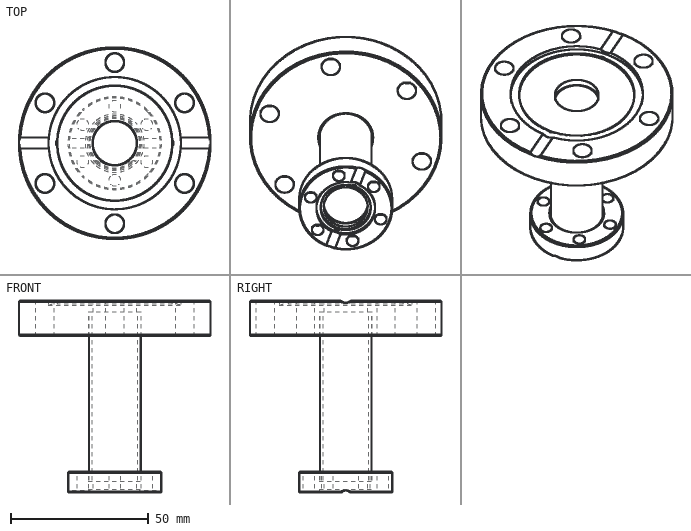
import cadquery as cq
import math

overall_height = 70.0
tube_outer_diameter = 19.0
tube_inner_diameter = 16.5

bore_diameter = 16.0
socket_diameter = 19.1
socket_chamfer = 0.5
lip_thickness = 2.95
bolt_count = 6
first_bolt_angle = 30.0
back_chamfer = 0.5

knife_tip_depth = 0.55
floor_depth = 1.1
knife_slope = 20.0
knife_inner_step = 0.15

large_diameter = 70.0
large_thickness = 12.9
large_recess_diameter = 48.3
large_recess_depth = 1.7
large_sealing_chamfer = 0.5
large_bolt_circle = 58.8
large_bolt_hole = 6.7
large_groove_width = 4.05
large_groove_depth = 0.7

small_diameter = 34.0
small_thickness = 7.7
small_recess_diameter = 21.4
small_recess_depth = 1.1
small_sealing_chamfer = 0.35
small_bolt_circle = 27.0
small_bolt_hole = 4.3
small_groove_width = 3.5
small_groove_depth = 0.8

tube_end_depth = floor_depth + lip_thickness


def flange_blank(diameter, thickness, recess_diameter, recess_depth, sealing_chamfer):
    """Turned flange with its sealing face at Z = 0 and its body below."""
    radius = diameter / 2
    recess_radius = recess_diameter / 2
    bore_radius = bore_diameter / 2
    socket_radius = socket_diameter / 2
    knife_radius = recess_radius - (recess_depth - knife_tip_depth) / math.tan(math.radians(knife_slope))
    profile = [
        (bore_radius, -floor_depth),
        (knife_radius - knife_inner_step, -floor_depth),
        (knife_radius, -knife_tip_depth),
        (recess_radius, -recess_depth),
        (recess_radius, 0),
        (radius - sealing_chamfer, 0),
        (radius, -sealing_chamfer),
        (radius, back_chamfer - thickness),
        (radius - back_chamfer, -thickness),
        (socket_radius + socket_chamfer, -thickness),
        (socket_radius, socket_chamfer - thickness),
        (socket_radius, -tube_end_depth),
        (bore_radius, -tube_end_depth),
    ]
    return cq.Workplane("XZ").polyline(profile).close().revolve(360, (0, 0), (0, 1))


def bolt_holes(circle_diameter, hole_diameter, thickness):
    """Ring of through holes."""
    return (
        cq.Workplane("XY")
        .polarArray(circle_diameter / 2, first_bolt_angle, 360, bolt_count)
        .circle(hole_diameter / 2)
        .extrude(-thickness)
    )


def leak_groove(diameter, width, depth):
    """Round-bottomed groove along X, across the sealing face."""
    groove_radius = ((width / 2) ** 2 + depth ** 2) / (2 * depth)
    return (
        cq.Workplane("YZ")
        .center(0, groove_radius - depth)
        .circle(groove_radius)
        .extrude(diameter / 2, both=True)
    )


def large_flange():
    """Upper flange, sealing face up."""
    flange = flange_blank(
        large_diameter,
        large_thickness,
        large_recess_diameter,
        large_recess_depth,
        large_sealing_chamfer,
    )
    flange = flange.cut(bolt_holes(large_bolt_circle, large_bolt_hole, large_thickness))
    flange = flange.cut(leak_groove(large_diameter, large_groove_width, large_groove_depth))
    return flange.translate((0, 0, overall_height))


def small_flange():
    """Lower flange, sealing face down."""
    flange = flange_blank(
        small_diameter,
        small_thickness,
        small_recess_diameter,
        small_recess_depth,
        small_sealing_chamfer,
    )
    flange = flange.cut(bolt_holes(small_bolt_circle, small_bolt_hole, small_thickness))
    flange = flange.cut(leak_groove(small_diameter, small_groove_width, small_groove_depth))
    return flange.rotate((0, 0, 0), (1, 0, 0), 180)


def connecting_tube():
    """Tube seated against the shoulder in each flange socket."""
    return (
        cq.Workplane("XY", origin=(0, 0, tube_end_depth))
        .circle(tube_outer_diameter / 2)
        .circle(tube_inner_diameter / 2)
        .extrude(overall_height - 2 * tube_end_depth)
    )


upper_flange = large_flange()
lower_flange = small_flange()
tube = connecting_tube()

result = cq.Compound.makeCompound([upper_flange.val(), lower_flange.val(), tube.val()])